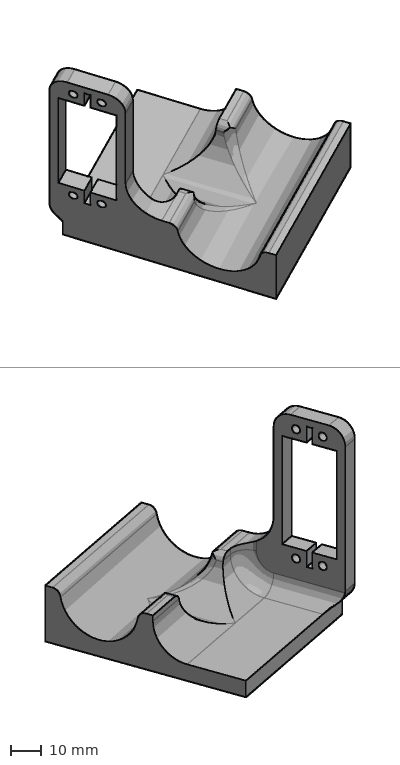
import cadquery as cq
import math

length = 79.9
depth = 63.5
height = 73.3

base_left = 4.7
floor_height = 6.2
trough_radius = 14.7
trough_x = 59.7
lip_radius = 3.1
ridge_top = floor_height + trough_radius
ridge_left = 39.55

plate_width = 26.85
plate_thickness = 6.4
corner_radius = 6.2
lower_corner_z = 13.2
lower_arc_end_z = 8.9
sweep_radius = ridge_left - plate_width

window_width = 20.4
window_height = 40.4
window_z = 44.3
slot_width = 2.1
slot_height = 52.4
hole_diameter = 3.0
hole_pitch_x = 10.0
hole_pitch_z = 48.25

margin = 0.1

diagonal = math.sqrt(0.5)


def on_lower_corner(z):
    """Point of the plate's lower left round at height z."""
    drop = lower_corner_z - z
    return corner_radius - math.sqrt(corner_radius**2 - drop**2), z


def extrude_to_back(sketch, distance):
    """Extrude an XZ sketch from the front face toward +Y."""
    return sketch.extrude(-distance)


def make_outline():
    """Front silhouette through the whole depth, without the main trough."""
    sweep_z = ridge_top + sweep_radius
    sweep_middle = (
        ridge_left - sweep_radius * diagonal,
        sweep_z - sweep_radius * diagonal,
    )
    round_middle_z = (lower_corner_z + lower_arc_end_z) / 2
    sketch = (
        cq.Workplane("XZ")
        .moveTo(base_left, 0)
        .lineTo(length, 0)
        .lineTo(length, ridge_top)
        .lineTo(ridge_left, ridge_top)
        .threePointArc(sweep_middle, (plate_width, sweep_z))
        .lineTo(plate_width, height)
        .lineTo(0, height)
        .lineTo(0, lower_corner_z)
        .threePointArc(on_lower_corner(round_middle_z), on_lower_corner(lower_arc_end_z))
        .lineTo(base_left, floor_height)
        .close()
    )
    outline = extrude_to_back(sketch, depth)
    top_corners = cq.selectors.BoxSelector(
        (-margin, 0, height - margin), (plate_width + margin, depth, height + margin)
    )
    return outline.edges(top_corners).edges("|Y").fillet(corner_radius)


def make_stepped_block():
    """Plate and bed stock, blended where the plate meets the bed."""
    wall_arc_z = floor_height + sweep_radius
    arc_middle = (
        plate_width + sweep_radius * diagonal,
        wall_arc_z - sweep_radius * diagonal,
    )
    bed_sketch = (
        cq.Workplane("XZ")
        .lineTo(length, 0)
        .lineTo(length, height)
        .lineTo(ridge_left, height)
        .lineTo(ridge_left, wall_arc_z)
        .threePointArc(arc_middle, (plate_width, floor_height))
        .lineTo(0, floor_height)
        .close()
    )
    bed = extrude_to_back(bed_sketch, depth)
    plate = cq.Workplane("XY").box(length, plate_thickness, height, centered=False)
    inner_corner = cq.selectors.BoxSelector(
        (margin, plate_thickness - margin, floor_height - margin),
        (ridge_left + margin, plate_thickness + margin, height - margin),
    )
    return bed.union(plate).edges(inner_corner).fillet(corner_radius)


def trough_section(plane):
    """Half-round section whose rims are rounded over onto the ridge top."""
    rim_x = math.sqrt((trough_radius + lip_radius) ** 2 - lip_radius**2)
    share = trough_radius / (trough_radius + lip_radius)
    meet_x = rim_x * share
    meet_z = -lip_radius * share
    half_angle = math.atan2(rim_x, lip_radius) / 2
    middle_x = rim_x - lip_radius * math.sin(half_angle)
    middle_z = lip_radius * math.cos(half_angle) - lip_radius
    return (
        plane.moveTo(-rim_x, 0)
        .threePointArc((-middle_x, middle_z), (-meet_x, meet_z))
        .threePointArc((0, -trough_radius), (meet_x, meet_z))
        .threePointArc((middle_x, middle_z), (rim_x, 0))
        .close()
    )


def cut_troughs(body):
    """Cut the two crossing troughs, round the edges where they meet, then round their rims."""
    cross_length = trough_x - plate_width
    main_plane = cq.Workplane("XZ", origin=(trough_x, 0, ridge_top))
    cross_plane = cq.Workplane("YZ", origin=(plate_width, depth / 2, ridge_top))
    body = body.cut(extrude_to_back(main_plane.circle(trough_radius), depth))
    body = body.cut(cross_plane.circle(trough_radius).extrude(cross_length))
    ridge_zone = cq.selectors.BoxSelector(
        (trough_x - trough_radius, 0, floor_height), (trough_x, depth, ridge_top)
    )
    body = body.edges(ridge_zone).edges("%ELLIPSE").fillet(lip_radius)
    body = body.cut(extrude_to_back(trough_section(main_plane), depth))
    rim_start = cq.Workplane("YZ", origin=(ridge_left, depth / 2, ridge_top))
    return body.cut(trough_section(rim_start).extrude(trough_x - ridge_left))


def cut_servo_mount(body):
    """Cut the servo window, its cable slots and the four screw holes."""
    centre_x = plate_width / 2
    mount = cq.Workplane("XZ").center(centre_x, window_z)
    body = body.cut(extrude_to_back(mount.rect(window_width, window_height), plate_thickness))
    body = body.cut(extrude_to_back(mount.rect(slot_width, slot_height), plate_thickness))
    holes = mount.rarray(hole_pitch_x, hole_pitch_z, 2, 2).circle(hole_diameter / 2)
    return body.cut(extrude_to_back(holes, plate_thickness))


body = make_stepped_block().intersect(make_outline())
body = cut_troughs(body)
result = cut_servo_mount(body)